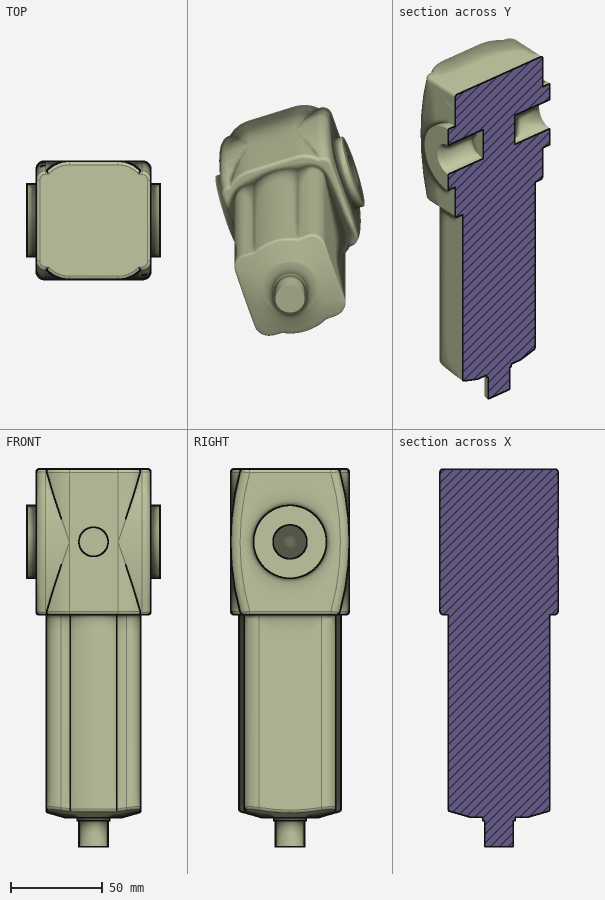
import cadquery as cq
import math


HEAD_WIDTH = 63.0
HEAD_DEPTH = 65.0
HEAD_HEIGHT = 80.0
HEAD_CORNER_RADIUS = 5.0
HEAD_RIM_RADIUS = 2.0
BARREL_INSET = 5.6
FRONT_FLAT_WIDTH = 26.6
PANEL_ARC_RADIUS = 17.5
PANEL_WIDTH = 56.0

PORT_SPAN = 73.0
PORT_DIAMETER = 40.0
PORT_HOLE_DIAMETER = 18.6
PORT_HOLE_DEPTH = 25.0
GAUGE_DIAMETER = 16.0
LABEL_LENGTH = 15.0
LABEL_HEIGHT = 6.4
LABEL_CENTRE_Z = 34.2
SEAT_DEPTH = 0.2

BOWL_WIDTH = 52.0
BOWL_FLAT_DEPTH = 50.0
BOWL_BULGE_RADIUS = 28.0
BOWL_CORNER_RADIUS = 8.0
BOWL_RIM_RADIUS = 1.6
BOWL_BOTTOM_Z = -151.15
BOWL_BOTTOM_RADIUS = 15.5
BOWL_CONE_ANGLE = 16.0

COLLAR_DIAMETER = 18.0
COLLAR_HEIGHT = 1.75
STUB_DIAMETER = 16.0
STUB_BOTTOM_Z = -167.15

HEAD_TOP_Z = HEAD_HEIGHT / 2


def make_barrelled_block():
    """Block whose front and back faces bow outwards along Z, with rounded corners and rims."""
    mid_y = HEAD_DEPTH / 2
    end_y = mid_y - BARREL_INSET
    profile = (
        cq.Workplane("YZ")
        .moveTo(-end_y, -HEAD_TOP_Z)
        .lineTo(end_y, -HEAD_TOP_Z)
        .threePointArc((mid_y, 0), (end_y, HEAD_TOP_Z))
        .lineTo(-end_y, HEAD_TOP_Z)
        .threePointArc((-mid_y, 0), (-end_y, -HEAD_TOP_Z))
        .close()
    )
    block = profile.extrude(HEAD_WIDTH / 2, both=True)
    corners = block.faces("<X or >X").edges("%CIRCLE")
    block = corners.fillet(HEAD_CORNER_RADIUS)
    return block.faces("<Z or >Z").edges().fillet(HEAD_RIM_RADIUS)


def make_panel_prism():
    """Upright prism carrying the flat front and back panels with their curved flanks."""
    flat_x = FRONT_FLAT_WIDTH / 2
    side_x = PANEL_WIDTH / 2
    front_y = HEAD_DEPTH / 2
    centre_y = front_y - PANEL_ARC_RADIUS
    end_angle = math.acos((side_x - flat_x) / PANEL_ARC_RADIUS)
    mid_angle = (end_angle + math.pi / 2) / 2

    def arc_point(angle):
        return (
            flat_x + PANEL_ARC_RADIUS * math.cos(angle),
            centre_y + PANEL_ARC_RADIUS * math.sin(angle),
        )

    mid_x, mid_y = arc_point(mid_angle)
    side_y = arc_point(end_angle)[1]
    prism = (
        cq.Workplane("XY")
        .workplane(offset=-HEAD_TOP_Z)
        .moveTo(-flat_x, front_y)
        .lineTo(flat_x, front_y)
        .threePointArc((mid_x, mid_y), (side_x, side_y))
        .lineTo(side_x, -side_y)
        .threePointArc((mid_x, -mid_y), (flat_x, -front_y))
        .lineTo(-flat_x, -front_y)
        .threePointArc((-mid_x, -mid_y), (-side_x, -side_y))
        .lineTo(-side_x, side_y)
        .threePointArc((-mid_x, mid_y), (-flat_x, front_y))
        .close()
        .extrude(HEAD_HEIGHT)
    )
    rims = prism.faces("<Z or >Z").edges("not |Y")
    return rims.fillet(HEAD_RIM_RADIUS)


def make_ports():
    """Round bosses standing out of both sides along X."""
    return cq.Workplane("YZ").circle(PORT_DIAMETER / 2).extrude(PORT_SPAN / 2, both=True)


def cut_port_holes(body):
    """Blind hole in the end of each port."""
    for side in (-1, 1):
        hole = (
            cq.Workplane("YZ")
            .workplane(offset=side * PORT_SPAN / 2)
            .circle(PORT_HOLE_DIAMETER / 2)
            .extrude(-side * PORT_HOLE_DEPTH)
        )
        body = body.cut(hole)
    return body


def cut_seats(body):
    """Shallow round gauge seat on the front and rounded label seat above the inlet port."""
    gauge = (
        cq.Workplane("XZ")
        .workplane(offset=HEAD_DEPTH / 2 - SEAT_DEPTH)
        .circle(GAUGE_DIAMETER / 2)
        .extrude(SEAT_DEPTH)
    )
    label = (
        cq.Workplane("YZ")
        .workplane(offset=-HEAD_WIDTH / 2)
        .center(0, LABEL_CENTRE_Z)
        .slot2D(LABEL_LENGTH, LABEL_HEIGHT)
        .extrude(SEAT_DEPTH)
    )
    return body.cut(gauge).cut(label)


def make_bowl():
    """Rounded bowl with bulged front and back and a shallow conical bottom."""
    bowl_top_z = -HEAD_TOP_Z
    length = bowl_top_z - BOWL_BOTTOM_Z
    base = cq.Workplane("XY").workplane(offset=BOWL_BOTTOM_Z)
    core = base.rect(BOWL_WIDTH, BOWL_FLAT_DEPTH).extrude(length)
    core = core.edges("|Z").fillet(BOWL_CORNER_RADIUS)
    half_chord = math.sqrt(BOWL_BULGE_RADIUS**2 - (BOWL_FLAT_DEPTH / 2) ** 2)
    bulge = base.circle(BOWL_BULGE_RADIUS).extrude(length)
    bulge = bulge.intersect(base.rect(2 * half_chord, 2 * BOWL_BULGE_RADIUS).extrude(length))
    bowl = core.union(bulge)

    outer_radius = math.hypot(BOWL_WIDTH, BOWL_FLAT_DEPTH) / 2
    cone_rise = (outer_radius - BOWL_BOTTOM_RADIUS) * math.tan(math.radians(BOWL_CONE_ANGLE))
    envelope = (
        cq.Workplane("XZ")
        .moveTo(0, BOWL_BOTTOM_Z)
        .lineTo(BOWL_BOTTOM_RADIUS, BOWL_BOTTOM_Z)
        .lineTo(outer_radius, BOWL_BOTTOM_Z + cone_rise)
        .lineTo(outer_radius, bowl_top_z)
        .lineTo(0, bowl_top_z)
        .close()
        .revolve(360, (0, 0, 0), (0, 1, 0))
    )
    bowl = bowl.intersect(envelope)
    rim = bowl.faces("%CONE").edges("not <Z")
    return rim.fillet(BOWL_RIM_RADIUS)


def make_drain():
    """Collar and drain stub under the bowl."""
    base = cq.Workplane("XY").workplane(offset=BOWL_BOTTOM_Z)
    collar = base.circle(COLLAR_DIAMETER / 2).extrude(-COLLAR_HEIGHT)
    stub = base.circle(STUB_DIAMETER / 2).extrude(STUB_BOTTOM_Z - BOWL_BOTTOM_Z)
    return collar.union(stub)


head = make_barrelled_block().union(make_panel_prism()).union(make_ports())
head = cut_seats(cut_port_holes(head))
result = head.union(make_bowl()).union(make_drain())